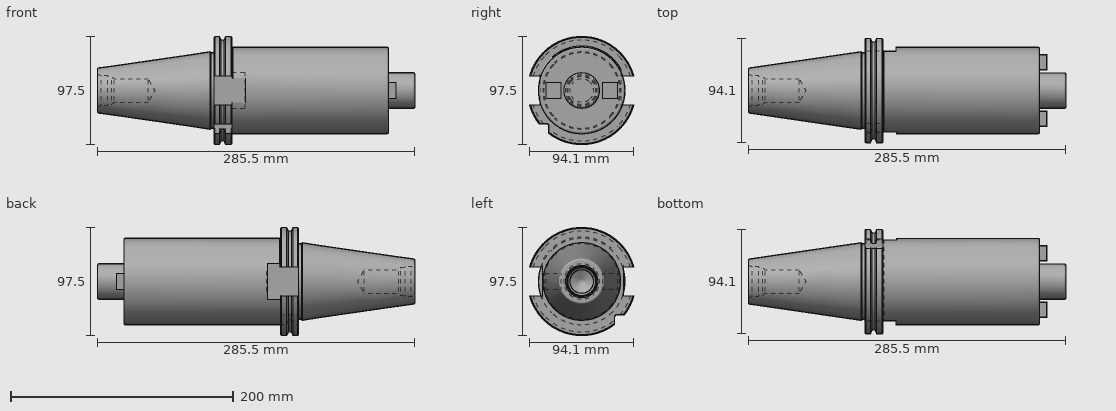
import cadquery as cq

TOTAL_LENGTH = 285.5

GAUGE_DIAMETER = 70.0
TAPER_LENGTH = 101.5
TAPER_RATIO = 7 / 24
TAPER_END_ROUND = 1.7

RELIEF_WIDTH = 3.5
RELIEF_DEPTH = 0.9
RELIEF_FILLET = 0.9

FLANGE_DIAMETER = 97.5
FLANGE_WIDTH = 16.0
FLANGE_CHAMFER = 0.9
GROOVE_OFFSET = 7.7
GROOVE_MOUTH = 5.7
GROOVE_FLOOR = 2.9
GROOVE_DEPTH = 3.0

BODY_DIAMETER = 78.0
BODY_ROUND = 1.7
ROOT_FILLET = 1.0
PILOT_DIAMETER = 32.0
PILOT_LENGTH = 23.7
PILOT_ROUND = 1.7

FLANGE_SLOT_WIDTH = 25.7
FRONT_FLAT_DISTANCE = 37.5
FRONT_FLAT_END = 133.5
REAR_FLAT_DISTANCE = 35.5
REAR_FLAT_END = 132.5

NOTCH_Y = -29.7
NOTCH_Z = -30.0
NOTCH_FILLET = 1.5

KEY_WIDTH = 14.5
KEY_HEIGHT = 6.5
KEY_INNER = 18.5
KEY_OUTER = 32.3

BORE_MOUTH_DIAMETER = 29.0
BORE_MOUTH_DEPTH = 3.5
BORE_DIAMETER = 26.8
BORE_DEPTH = 8.9
THREAD_DIAMETER = 25.0
THREAD_END = 12.9
TAP_DIAMETER = 21.0
TAP_DEPTH = 45.7
DRILL_TIP_LENGTH = 6.0

gauge_radius = GAUGE_DIAMETER / 2
small_end_radius = gauge_radius - TAPER_LENGTH * TAPER_RATIO / 2
flange_radius = FLANGE_DIAMETER / 2
body_radius = BODY_DIAMETER / 2
pilot_radius = PILOT_DIAMETER / 2
flange_start = TAPER_LENGTH + RELIEF_WIDTH
flange_end = flange_start + FLANGE_WIDTH
body_end = TOTAL_LENGTH - PILOT_LENGTH


def revolve_about_axis(profile, angle=360):
    """Close an (x, radius) profile and revolve it about the X axis, from +Y through +Z."""
    return profile.close().revolve(angle, (0, 0, 0), (1, 0, 0))


def make_blank():
    """Turned outside shape: taper, relief, flange, body and pilot."""
    relief_radius = gauge_radius - RELIEF_DEPTH
    round_end_radius = small_end_radius + TAPER_END_ROUND * TAPER_RATIO / 2
    profile = (
        cq.Workplane("XY")
        .lineTo(0, round_end_radius - TAPER_END_ROUND)
        .radiusArc((TAPER_END_ROUND, round_end_radius), TAPER_END_ROUND)
        .lineTo(TAPER_LENGTH, gauge_radius)
        .lineTo(TAPER_LENGTH + RELIEF_DEPTH, relief_radius)
        .lineTo(flange_start - RELIEF_FILLET, relief_radius)
        .radiusArc((flange_start, relief_radius + RELIEF_FILLET), -RELIEF_FILLET)
        .lineTo(flange_start, flange_radius - FLANGE_CHAMFER)
        .lineTo(flange_start + FLANGE_CHAMFER, flange_radius)
        .lineTo(flange_end - FLANGE_CHAMFER, flange_radius)
        .lineTo(flange_end, flange_radius - FLANGE_CHAMFER)
        .lineTo(flange_end, body_radius)
        .lineTo(body_end - BODY_ROUND, body_radius)
        .radiusArc((body_end, body_radius - BODY_ROUND), BODY_ROUND)
        .lineTo(body_end, pilot_radius)
        .lineTo(TOTAL_LENGTH - PILOT_ROUND, pilot_radius)
        .radiusArc((TOTAL_LENGTH, pilot_radius - PILOT_ROUND), PILOT_ROUND)
        .lineTo(TOTAL_LENGTH, 0)
    )
    return revolve_about_axis(profile)


def make_root_fillet():
    """Fillet between flange and body, on the +Z half only."""
    profile = (
        cq.Workplane("XY")
        .moveTo(flange_end, body_radius)
        .lineTo(flange_end, body_radius + ROOT_FILLET)
        .radiusArc((flange_end + ROOT_FILLET, body_radius), -ROOT_FILLET)
    )
    return revolve_about_axis(profile, 180)


def make_v_groove():
    """Ring that cuts the gripper groove in the flange rim."""
    center = flange_start + GROOVE_OFFSET
    profile = cq.Workplane("XY").polyline([
        (center - GROOVE_MOUTH / 2, flange_radius),
        (center - GROOVE_FLOOR / 2, flange_radius - GROOVE_DEPTH),
        (center + GROOVE_FLOOR / 2, flange_radius - GROOVE_DEPTH),
        (center + GROOVE_MOUTH / 2, flange_radius),
    ])
    return revolve_about_axis(profile)


def make_drive_slot(side, distance, flat_end):
    """Flange slot and the flat on the body behind it; side is the sign of Y."""
    def cutting_box(start, end, width):
        box = cq.Workplane("XY").box(end - start, flange_radius, width, centered=(False, True, True))
        return box.translate((start, side * (distance + flange_radius / 2), 0))

    flange_slot = cutting_box(flange_start, flange_end, FLANGE_SLOT_WIDTH)
    body_flat = cutting_box(flange_end, flat_end, BODY_DIAMETER)
    return flange_slot.union(body_flat)


def make_notch():
    """Corner block that cuts the orientation notch in the flange rim only."""
    block = cq.Workplane("XY").box(FLANGE_WIDTH, flange_radius, flange_radius, centered=False)
    block = block.translate((flange_start, NOTCH_Y - flange_radius, NOTCH_Z - flange_radius))
    block = block.edges("|X and >Y and >Z").fillet(NOTCH_FILLET)
    body_core = cq.Workplane("YZ", origin=(flange_start, 0, 0)).circle(body_radius).extrude(FLANGE_WIDTH)
    return block.cut(body_core)


def make_key(side):
    """Drive key on the end face of the body; side is the sign of Y."""
    key = cq.Workplane("XY").box(
        KEY_HEIGHT + BODY_ROUND, KEY_OUTER - KEY_INNER, KEY_WIDTH, centered=(False, True, True)
    )
    return key.translate((body_end - BODY_ROUND, side * (KEY_INNER + KEY_OUTER) / 2, 0))


def make_bore():
    """Blind bore with a tapered mouth, two steps and a drilled tip."""
    mouth_radius = BORE_MOUTH_DIAMETER / 2
    bore_radius = BORE_DIAMETER / 2
    thread_radius = THREAD_DIAMETER / 2
    tap_radius = TAP_DIAMETER / 2
    profile = (
        cq.Workplane("XY")
        .lineTo(0, mouth_radius)
        .lineTo(BORE_MOUTH_DEPTH, bore_radius)
        .lineTo(BORE_DEPTH, bore_radius)
        .lineTo(BORE_DEPTH, thread_radius)
        .lineTo(THREAD_END, thread_radius)
        .lineTo(THREAD_END + thread_radius - tap_radius, tap_radius)
        .lineTo(TAP_DEPTH, tap_radius)
        .lineTo(TAP_DEPTH + DRILL_TIP_LENGTH, 0)
    )
    return revolve_about_axis(profile)


result = make_blank().union(make_root_fillet()).cut(make_v_groove()).cut(make_notch())
result = result.cut(make_drive_slot(-1, FRONT_FLAT_DISTANCE, FRONT_FLAT_END))
result = result.cut(make_drive_slot(1, REAR_FLAT_DISTANCE, REAR_FLAT_END))
for side in (-1, 1):
    result = result.union(make_key(side))
result = result.cut(make_bore())